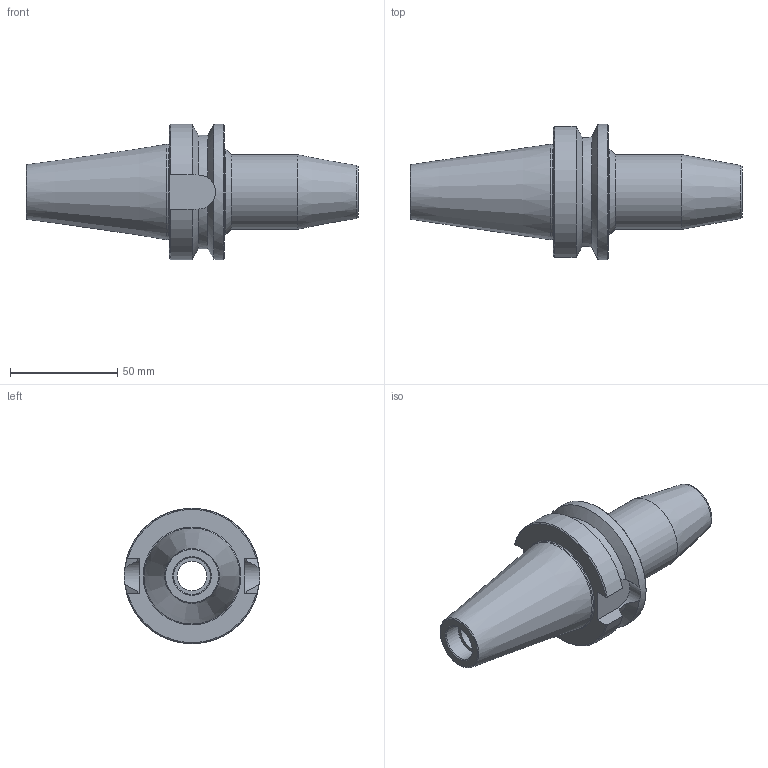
import cadquery as cq
import math

TAPER_LENGTH = 65.43
OVERALL_LENGTH = 154.43
FLANGE_FRONT = 1.3
FLANGE_BACK = 26.75
SHANK_START = 30.05
NOSE_START = 60.9
NOSE_END = OVERALL_LENGTH - TAPER_LENGTH

GAUGE_RADIUS = 44.45 / 2
TAPER_PER_LENGTH = 7 / 24
SMALL_END_RADIUS = GAUGE_RADIUS - TAPER_LENGTH * TAPER_PER_LENGTH / 2
SMALL_END_CHAMFER = 0.4
NECK_FILLET = 0.5

FLANGE_RADIUS = 62.99 / 2
FLANGE_CHAMFER = 0.5
GROOVE_RADIUS = 26.45
GROOVE_CENTER = 16.9
GROOVE_FLOOR_WIDTH = 4.3
GROOVE_WALL_ANGLE = 30
GROOVE_WALL_RUN = (FLANGE_RADIUS - GROOVE_RADIUS) * math.tan(math.radians(GROOVE_WALL_ANGLE))

SHANK_RADIUS = 34.8 / 2
COLLAR_CONE_LENGTH = 2.45
COLLAR_RADIUS = SHANK_RADIUS + COLLAR_CONE_LENGTH
NOSE_END_RADIUS = 12.4
NOSE_CHAMFER_LENGTH = 0.9
NOSE_CHAMFER_DEPTH = 0.4

BORE_RADIUS = 13.72 / 2
COUNTERBORE_RADIUS = 17.02 / 2
COUNTERBORE_DEPTH = 8.0
COUNTERBORE_CHAMFER = 0.45

SLOT_WIDTH = 15.88
SLOT_END = 22.75
SLOT_FLOOR = 24.3


def make_body():
    """Revolve the outer profile about the X axis."""
    groove_left = GROOVE_CENTER - GROOVE_FLOOR_WIDTH / 2
    groove_right = GROOVE_CENTER + GROOVE_FLOOR_WIDTH / 2
    fillet_offset = NECK_FILLET * (1 - math.sqrt(0.5))
    profile = (
        cq.Workplane("XY")
        .moveTo(-TAPER_LENGTH, 0)
        .lineTo(-TAPER_LENGTH, SMALL_END_RADIUS - SMALL_END_CHAMFER)
        .lineTo(
            -TAPER_LENGTH + SMALL_END_CHAMFER,
            SMALL_END_RADIUS + SMALL_END_CHAMFER * TAPER_PER_LENGTH / 2,
        )
        .lineTo(0, GAUGE_RADIUS)
        .lineTo(FLANGE_FRONT - NECK_FILLET, GAUGE_RADIUS)
        .threePointArc(
            (FLANGE_FRONT - fillet_offset, GAUGE_RADIUS + fillet_offset),
            (FLANGE_FRONT, GAUGE_RADIUS + NECK_FILLET),
        )
        .lineTo(FLANGE_FRONT, FLANGE_RADIUS - FLANGE_CHAMFER)
        .lineTo(FLANGE_FRONT + FLANGE_CHAMFER, FLANGE_RADIUS)
        .lineTo(groove_left - GROOVE_WALL_RUN, FLANGE_RADIUS)
        .lineTo(groove_left, GROOVE_RADIUS)
        .lineTo(groove_right, GROOVE_RADIUS)
        .lineTo(groove_right + GROOVE_WALL_RUN, FLANGE_RADIUS)
        .lineTo(FLANGE_BACK - FLANGE_CHAMFER, FLANGE_RADIUS)
        .lineTo(FLANGE_BACK, FLANGE_RADIUS - FLANGE_CHAMFER)
        .lineTo(FLANGE_BACK, COLLAR_RADIUS)
        .lineTo(SHANK_START - COLLAR_CONE_LENGTH, COLLAR_RADIUS)
        .lineTo(SHANK_START, SHANK_RADIUS)
        .lineTo(NOSE_START, SHANK_RADIUS)
        .lineTo(NOSE_END - NOSE_CHAMFER_LENGTH, NOSE_END_RADIUS)
        .lineTo(NOSE_END, NOSE_END_RADIUS - NOSE_CHAMFER_DEPTH)
        .lineTo(NOSE_END, 0)
        .close()
    )
    return profile.revolve(360, (0, 0, 0), (1, 0, 0))


def make_bore():
    """Through bore with a chamfered counterbore at the small end of the taper."""
    profile = (
        cq.Workplane("XY")
        .moveTo(-TAPER_LENGTH, 0)
        .lineTo(-TAPER_LENGTH, COUNTERBORE_RADIUS + COUNTERBORE_CHAMFER)
        .lineTo(-TAPER_LENGTH + COUNTERBORE_CHAMFER, COUNTERBORE_RADIUS)
        .lineTo(-TAPER_LENGTH + COUNTERBORE_DEPTH, COUNTERBORE_RADIUS)
        .lineTo(-TAPER_LENGTH + COUNTERBORE_DEPTH, BORE_RADIUS)
        .lineTo(NOSE_END, BORE_RADIUS)
        .lineTo(NOSE_END, 0)
        .close()
    )
    return profile.revolve(360, (0, 0, 0), (1, 0, 0))


def make_drive_slot(side):
    """Round-ended slot cut into the flange on the +Y (side=1) or -Y (side=-1) face."""
    slot_radius = SLOT_WIDTH / 2
    arc_center = SLOT_END - slot_radius
    return (
        cq.Workplane("XZ", origin=(0, side * SLOT_FLOOR, 0))
        .moveTo(0, -slot_radius)
        .lineTo(arc_center, -slot_radius)
        .threePointArc((SLOT_END, 0), (arc_center, slot_radius))
        .lineTo(0, slot_radius)
        .close()
        .extrude(-side * FLANGE_RADIUS)
    )


result = make_body().cut(make_bore())
for slot_side in (-1, 1):
    result = result.cut(make_drive_slot(slot_side))